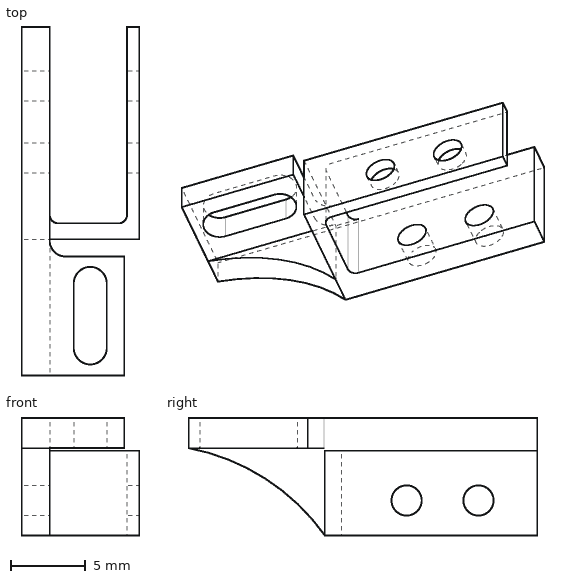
import cadquery as cq

length = 23.35
width = 7.9
height = 7.9

side_wall = 1.9
clevis_length = 14.22
clevis_height = 5.7
outer_wall = 0.85
bridge = 1.07
clevis_fillet = 0.55

tab_width = 6.89
tab_length = 7.99
tab_thickness = 2.03
tab_fillet = 1.05
slot_width = 2.2
slot_length = 6.51
slot_center_x = 4.6
slot_center_y = 4.02

relief_mid_y = 4.41
relief_mid_z = 4.25

hole_diameter = 2.0
hole_height = 2.35
hole_setback = 3.95
hole_spacing = 4.8

clevis_front = length - clevis_length
tab_bottom = height - tab_thickness


def make_side_wall():
    """Full-length wall whose lower front corner is cut by a concave arc."""
    return (
        cq.Workplane("YZ")
        .moveTo(0, height)
        .lineTo(length, height)
        .lineTo(length, 0)
        .lineTo(clevis_front, 0)
        .threePointArc((relief_mid_y, relief_mid_z), (0, tab_bottom))
        .close()
        .extrude(side_wall)
    )


def make_clevis():
    """Bridge and outer wall, forming a U with the side wall."""
    inner_right = width - outer_wall
    bridge_back = clevis_front + bridge
    return (
        cq.Workplane("XY")
        .moveTo(side_wall, clevis_front)
        .lineTo(width, clevis_front)
        .lineTo(width, length)
        .lineTo(inner_right, length)
        .lineTo(inner_right, bridge_back + clevis_fillet)
        .radiusArc((inner_right - clevis_fillet, bridge_back), clevis_fillet)
        .lineTo(side_wall + clevis_fillet, bridge_back)
        .radiusArc((side_wall, bridge_back + clevis_fillet), clevis_fillet)
        .close()
        .extrude(clevis_height)
    )


def make_tab():
    """Flat tab with a rounded inside corner against the side wall and a slot."""
    outline = (
        cq.Workplane("XY", origin=(0, 0, tab_bottom))
        .lineTo(tab_width, 0)
        .lineTo(tab_width, tab_length)
        .lineTo(side_wall + tab_fillet, tab_length)
        .radiusArc((side_wall, tab_length + tab_fillet), tab_fillet)
        .lineTo(0, tab_length + tab_fillet)
        .close()
        .extrude(tab_thickness)
    )
    slot = (
        cq.Workplane("XY", origin=(slot_center_x, slot_center_y, tab_bottom))
        .slot2D(slot_length, slot_width, 90)
        .extrude(tab_thickness)
    )
    return outline.cut(slot)


def make_cross_holes():
    """Two cylinders along X, long enough to pierce both walls."""
    back_hole_y = length - hole_setback
    return (
        cq.Workplane("YZ")
        .pushPoints([(back_hole_y, hole_height), (back_hole_y - hole_spacing, hole_height)])
        .circle(hole_diameter / 2)
        .extrude(width)
    )


result = make_side_wall().union(make_clevis()).union(make_tab()).cut(make_cross_holes())